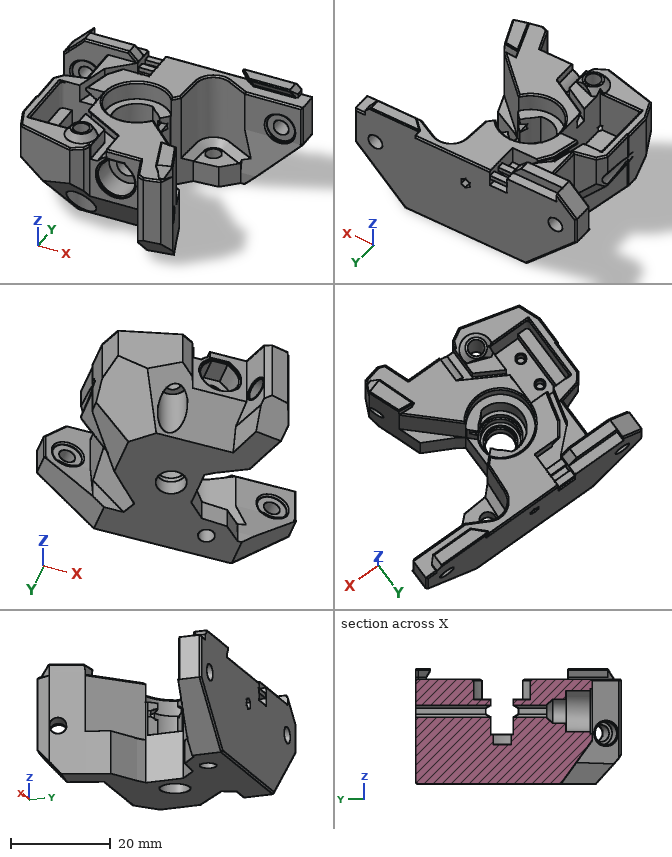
import cadquery as cq
import math

BIG = 200.0
EDGE = 0.35

body_top = 21.1
overall_height = 23.2
raised = overall_height - body_top

flange_width = 53.59
flange_mid_x = 4.13
flange_back = 17.38
flange_thickness = 4.93
flange_front = flange_back - flange_thickness
flange_left = flange_mid_x - flange_width / 2
flange_right = flange_mid_x + flange_width / 2
flange_corner_z = 12.15
flange_slope_low_z = 2.6
flange_foot_y = 10.85
ear_bevel = 4.75
ear_end_x = -7.9
key_depth = 3.0
ear_pocket_depth = 2.2

screw_z = 14.64
screw_spread = 21.77
screw_hole_d = 3.4
flange_bore_d = 6.25
flange_bore_depth = 0.5

body_left = -19.2
side_step_x = -19.0
body_front = -18.15
body_right = 5.63
web_x = -12.87
arm_front = flange_back - 41.37
ledge_z = 9.0
shelf_z = 4.85
recess_taper_z = 6.2

well_r = 7.0
well_floor = 17.0

recess_x, recess_y = 11.5, 11.5
recess_r = 3.9
recess_taper = 53.0
recess_wall_angle = math.radians(62.0)

slot_left, slot_right = -5.9, -1.8
slot_front = 9.2
slot_floor = 17.2
rib_top = 19.8
rib_size = 1.5
rib_height = 1.0
pocket_floor = 11.0
pocket_step = 14.5

boss_x, boss_y = -5.0, -15.2
boss_base_r = 3.4
boss_top_r = 2.2
boss_height = 1.5


def prism(points, z_low, z_high):
    """Vertical prism over a closed XY outline."""
    return cq.Workplane("XY").workplane(offset=z_low).polyline(points).close().extrude(z_high - z_low)


def block(x0, x1, y0, y1, z0, z1):
    """Axis-aligned block between two corners."""
    return cq.Workplane("XY").box(x1 - x0, y1 - y0, z1 - z0, centered=False).translate((x0, y0, z0))


def bore_z(x, y, diameter, z_low, z_high):
    """Vertical cylinder."""
    base = cq.Workplane("XY").workplane(offset=z_low)
    return base.center(x, y).circle(diameter / 2).extrude(z_high - z_low)


def bore_y(x, z, diameter, y_low, y_high):
    """Cylinder along Y."""
    plane = cq.Plane((x, y_low, z), (1, 0, 0), (0, 1, 0))
    return cq.Workplane(plane).circle(diameter / 2).extrude(y_high - y_low)


def cone(origin, direction, start_r, end_r, length):
    """Truncated cone growing from origin along direction."""
    solid = cq.Solid.makeCone(start_r, end_r, length, cq.Vector(*origin), cq.Vector(*direction))
    return cq.Workplane(obj=solid)


def ruled_loft(low_points, high_points, z_low, z_high):
    """Straight-sided solid between two outlines at different heights."""
    return (
        cq.Workplane("XY").workplane(offset=z_low).polyline(low_points).close()
        .workplane(offset=z_high - z_low).polyline(high_points).close().loft(ruled=True)
    )


def half_space(p, q, r, outside):
    """Everything on the side of plane p-q-r where the point outside lies."""
    corner = cq.Vector(*p)
    along = cq.Vector(*q) - corner
    normal = along.cross(cq.Vector(*r) - corner)
    if normal.dot(cq.Vector(*outside) - corner) < 0:
        normal = -normal
    plane = cq.Plane(corner, along, normal)
    return cq.Workplane(plane).rect(BIG, BIG).extrude(BIG)


def make_flange():
    """Rear plate with a raised ear on the left and a thickened foot."""
    foot_run = flange_corner_z
    ear_slope_z = overall_height - ear_bevel
    outline = [
        (flange_left, flange_corner_z),
        (flange_left, ear_slope_z),
        (flange_left + ear_bevel, overall_height),
        (ear_end_x, overall_height),
        (ear_end_x + raised, body_top),
        (flange_right, body_top),
        (flange_right, flange_corner_z),
        (flange_right - foot_run, 0),
        (flange_left + foot_run, 0),
    ]
    back = cq.Workplane("XZ", origin=(0, flange_back, 0))
    plate = back.polyline(outline).close().extrude(flange_thickness).faces("<Y or >Y").edges().chamfer(EDGE)
    profile = [
        (flange_back - EDGE, 0),
        (flange_foot_y, 0),
        (flange_foot_y, flange_slope_low_z),
        (flange_front, flange_corner_z),
        (flange_back - EDGE, flange_corner_z),
    ]
    foot = cq.Workplane("YZ", origin=(-BIG / 2, 0, 0)).polyline(profile).close().extrude(BIG)
    return plate.union(foot.intersect(back.polyline(outline).close().extrude(2 * flange_thickness)))


def recess_outline(z):
    """Outline of the open recess, round about its screw and straight to the flange."""
    wall_x, wall_y = math.cos(recess_wall_angle), math.sin(recess_wall_angle)
    mid_angle = (math.pi + recess_wall_angle) / 2
    reach = 20.0
    outer_x, outer_y = 30.0, -8.0
    return (
        cq.Workplane("XY").workplane(offset=z)
        .moveTo(7.2, 5.6)
        .lineTo(recess_x - recess_r, recess_y)
        .threePointArc(
            (recess_x + recess_r * math.cos(mid_angle), recess_y + recess_r * math.sin(mid_angle)),
            (recess_x + recess_r * wall_x, recess_y + recess_r * wall_y),
        )
        .lineTo(recess_x + recess_r * wall_x + reach * wall_y, recess_y + recess_r * wall_y - reach * wall_x)
        .lineTo(outer_x, outer_y).lineTo(7.0, outer_y).close()
    )


def make_recess():
    """Open recess around the rear vertical screw; its wall tapers in near the floor."""
    wall = recess_outline(recess_taper_z).extrude(body_top - recess_taper_z)
    lower = recess_outline(recess_taper_z).extrude(shelf_z - recess_taper_z, taper=recess_taper)
    rim = recess_outline(body_top - EDGE).extrude(EDGE, taper=-45)
    return wall.union(lower).union(rim).intersect(block(0, BIG, 3.9, BIG, 0, BIG))


def make_body():
    """Main block with the arm, before the underside is cut away."""
    left = [
        (web_x, flange_back - 1), (web_x, 3.5), (-17.5, 2.45), (side_step_x, 0.55), (side_step_x, -6.75),
        (body_left, -6.75), (body_left, -13.0), (-17.43, -17.6), (-4.85, -20.9), (-2.3, -19.5),
        (-1.7, body_front),
    ]
    arm = [
        (9.7, body_front), (11.6, -23.4), (13.1, arm_front), (16.7, -23.2), (17.93, -20.25), (15.4, -13.4),
    ]
    right = [
        (body_right, -4.1), (body_right, 3.9), (9.07, 7.3), (14.55, 7.7), (17.9, flange_foot_y),
        (17.9, flange_back - 1),
    ]
    body = prism(left + arm + right, 0, body_top).faces(">Z").edges().chamfer(EDGE)
    body = body.cut(bore_z(0, 0, 2 * well_r, well_floor, BIG))
    body = body.cut(cone((0, 0, body_top), (0, 0, -1), well_r + EDGE, well_r, EDGE))
    ledge = [(body_right, -4.1), (7.4, -5.3), (13.7, -8.6), (15.4, -13.4)]
    return body.union(prism(ledge, 0, ledge_z))


def underside_cuts():
    """Sloping faces of the underside, as solids to remove."""
    below_front = (0, -60, -60)
    below_left = (-60, 0, -60)
    front_top_z = 8.8
    front_corner = (-17.43, -17.6, 13.4)
    shared_high = (-11.7, -19.1, 10.1)
    shared_low = (-7.6, -12.3, 0.7)
    front = half_space((0, body_front, front_top_z), (1, body_front, front_top_z), shared_low, below_front)
    beside_arm = half_space((9.7, body_front, 0), (11.6, -23.4, 0), (9.7, body_front, 1), (0, -25, 0))
    under_arm = half_space((8.68, -15.1, 4.1), (10.6, -20.6, 4.1), (9.3, -13.0, 0.5), (0, -25, 0))
    front = front.intersect(beside_arm.union(under_arm))
    front_left = half_space(front_corner, shared_high, shared_low, below_front)
    foot_x = -11.8
    corner_z = foot_x - body_left
    left = half_space(
        (body_left, 0, corner_z), (body_left, 1, corner_z),
        (foot_x, 0, 0), below_left)
    left = left.intersect(block(-BIG, 0, -BIG, flange_foot_y, -BIG, BIG))
    behind = half_space(
        (flange_left, 0, flange_corner_z), (flange_left, 1, flange_corner_z),
        (flange_left + flange_corner_z, 0, 0), below_left)
    behind = behind.intersect(block(-BIG, 0, flange_foot_y, BIG, -BIG, BIG))
    arm = half_space((13.1, arm_front, 6.0), (16.3, -18.1, 0), (11.2, -18.85, 0), below_front)
    return [front, front_left, left, behind, arm]


def side_undercut():
    """Hollow under the rear left, in front of the flange."""
    block_top = (-18.9, 0.85, 13.0)
    block_low = (-9.7, 3.0, 3.7)
    wall = half_space((-18.9, -6.4, 13.4), (body_left, -6.8, 7.26), (-12.1, 0.6, 0.3), (-60, 40, 0))
    under_block = half_space(block_top, (-18.9, -6.4, 13.4), block_low, (-30, 0, -60))
    under_corner = half_space(block_top, (-17.5, 2.3, 13.8), block_low, (-30, 10, -60))
    under_web = half_space((web_x, 11.4, 6.75), (web_x, 3.8, 10.4), (-9.0, 4.7, 5.8), (-30, 10, -60))
    beside_web = block(-BIG, web_x, -BIG, BIG, -BIG, BIG)
    ceiling = under_block.union(under_corner).intersect(under_web.union(beside_web))
    reach = block(-BIG, 0, -BIG, flange_foot_y, -1, BIG)
    return wall.intersect(ceiling).intersect(reach)


def key_recess():
    """Pocket in the left ear that takes a mating key, and the stepped cable slot beside it."""
    ear_pocket_left = flange_left + ear_bevel
    ear_pocket_front = flange_back - ear_pocket_depth
    ear_pocket = block(ear_pocket_left, slot_left, ear_pocket_front, flange_back, body_top, overall_height)
    slot = block(slot_left, slot_right, slot_front, flange_back, slot_floor, overall_height)
    for rib_front in (12.87, 15.8):
        rib_back = rib_front + rib_size
        slot = slot.cut(block(slot_left, slot_right, rib_front, rib_back, rib_top - rib_height, rib_top))
    return ear_pocket.union(slot)


def cable_channel():
    """Channel from the slot to the switch pocket."""
    left_side = [(slot_right, flange_front), (slot_left, flange_front), (-11.0, 7.7), (-13.0, 0.0)]
    right_side = [(-11.6, 0.0), (-10.0, 6.4), (-8.0, slot_front), (slot_right, slot_front)]
    flared_side = [(-11.2, 0.0), (-9.6, 6.3), (-7.6, slot_front), (slot_right, slot_front)]
    deep_side = [(-9.4, 0.0), (-8.0, 5.8), (-6.2, slot_front), (slot_right, slot_front)]
    outline = left_side + right_side
    overhang_z = 18.8
    cover_z = overhang_z + 1.6
    channel = prism(outline, slot_floor, overall_height)
    rim = ruled_loft(outline, left_side + flared_side, body_top - EDGE, body_top)
    undercut = prism(left_side + deep_side, slot_floor, overhang_z)
    overhang = ruled_loft(left_side + deep_side, outline, overhang_z, cover_z)
    cut = channel.union(rim).union(undercut).union(overhang)
    return cut.cut(block(slot_left, slot_right, flange_front, BIG, 0, BIG))


def switch_pocket():
    """Rectangular pocket with a step and two pin holes."""
    x0, x1 = -17.1, -7.4
    y0, y1 = -14.15, 0.2
    step_x = -14.6
    corner_r = 0.8
    pin_x, pin_d, pin_depth, pin_edge = -12.6, 1.8, 3.0, 0.25
    deep = block(step_x, x1, y0, y1, pocket_floor, BIG)
    shallow = block(x0, step_x, y0, y1, pocket_step, BIG).edges("|Z and <X").fillet(corner_r)
    pocket = deep.union(shallow)
    mouth = [(x0, y1), (x1, y1), (x1, y0), (x0, y0)]
    flared_mouth = [(x0 - EDGE, y1), (x1, y1), (x1, y0 - EDGE), (x0 - EDGE, y0 - EDGE)]
    pocket = pocket.union(ruled_loft(mouth, flared_mouth, body_top - EDGE, body_top))
    for pin_y in (-3.84, -10.4):
        pocket = pocket.union(bore_z(pin_x, pin_y, pin_d, pocket_floor - pin_depth, pocket_floor))
        pocket = pocket.union(
            cone((pin_x, pin_y, pocket_floor), (0, 0, -1), pin_d / 2 + pin_edge, pin_d / 2, pin_edge))
    return pocket


def front_notch():
    """Trench from the switch pocket round to the front face, with an overhanging rear wall."""
    floor_z = 17.9
    overhang_low, overhang_high = 19.5, 20.9
    pocket_side, front_end = -7.4, 2.0
    bend_x = -1.5
    bore_wall_r = 5.2
    bore_wall_end = -12.7
    top_edge = [(pocket_side, -7.0), (front_end, -12.4)]
    deep_edge = [(pocket_side, -5.7), (front_end, -11.0)]
    near_edge = [(front_end, -12.6), (pocket_side, -7.2)]
    trench = prism(
        top_edge + [(front_end, body_front), (bend_x, body_front), (bend_x, -11.7), (pocket_side, -8.3)],
        floor_z, body_top)
    trench = trench.cut(bore_y(flange_mid_x, screw_z, 2 * bore_wall_r, body_front - 1, bore_wall_end))
    undercut = prism(deep_edge + near_edge, floor_z, overhang_low)
    overhang = ruled_loft(deep_edge + near_edge, top_edge + near_edge, overhang_low, overhang_high)
    return trench.union(undercut).union(overhang)


def main_bore():
    """Stepped vertical bore; its middle pocket narrows at 45 degrees, then flares out to the right."""
    hole = bore_z(0, 0, 6.25, 0, BIG)
    for diameter, floor_z in ((7.0, 3.5), (8.2, 5.0), (9.0, 8.0)):
        hole = hole.union(bore_z(0, 0, diameter, floor_z, BIG))
    pocket_r, pocket_z = 5.3, 10.0
    point_x = 6.2
    shoulder_x = point_x - pocket_r
    wedge = prism([
        (-pocket_r, -pocket_r), (shoulder_x, -pocket_r), (point_x, 0),
        (shoulder_x, pocket_r), (-pocket_r, pocket_r),
    ], pocket_z, BIG)
    throat_x, throat_y = 3.9, 2.0
    mouth_x = body_right + 1
    mouth_y = throat_y + mouth_x - throat_x
    flare = prism([
        (0, -throat_y), (throat_x, -throat_y), (mouth_x, -mouth_y), (mouth_x, mouth_y), (throat_x, throat_y),
        (0, throat_y),
    ], pocket_z, well_floor)
    return hole.union(bore_z(0, 0, 2 * pocket_r, pocket_z, BIG).intersect(wedge)).union(flare)


def flat_topped_bore(r, depth):
    """Bore along Y from the front face: a circle whose upper side is squared to an octagon."""
    front = cq.Plane((flange_mid_x, body_front, screw_z), (1, 0, 0), (0, -1, 0))
    half_flat = r * math.tan(math.pi / 8)
    side = r * math.sqrt(0.5)
    roof = cq.Workplane(front).polyline([(-side, side), (-half_flat, r), (half_flat, r), (side, side)])
    return cq.Workplane(front).circle(r).extrude(-depth).union(roof.close().extrude(-depth))


def tension_bore():
    """Horizontal front bore: flat-topped counterbore, shank, cone and a small hexagon right through."""
    mouth_depth, depth, shank_end = 0.4, 5.3, body_front + 8.0
    shank_d, hexagon_d = 4.7, 2.4
    cut = flat_topped_bore(9.0 / 2, mouth_depth).union(flat_topped_bore(8.2 / 2, depth))
    cut = cut.union(bore_y(flange_mid_x, screw_z, shank_d, body_front, shank_end))
    cut = cut.union(cone((flange_mid_x, shank_end, screw_z), (0, 1, 0), shank_d / 2, hexagon_d / 2, 1.2))
    start = cq.Plane((flange_mid_x, body_front, screw_z), (0, 0, 1), (0, 1, 0))
    return cut.union(cq.Workplane(start).polygon(6, hexagon_d).extrude(BIG))


def flange_screws():
    """Two horizontal screw holes with shallow chamfered counterbores."""
    cut = None
    for side in (-1, 1):
        x = flange_mid_x + side * screw_spread
        hole = bore_y(x, screw_z, screw_hole_d, 0, BIG)
        hole = hole.union(bore_y(x, screw_z, flange_bore_d, 0, flange_front + flange_bore_depth))
        bore_r = flange_bore_d / 2
        hole = hole.union(cone((x, flange_front, screw_z), (0, 1, 0), bore_r + EDGE, bore_r, EDGE))
        hole = hole.intersect(block(-BIG, BIG, flange_foot_y, BIG, 0, BIG))
        cut = hole if cut is None else cut.union(hole)
    return cut


def vertical_screws():
    """Rear screw hole, and the boss hole with its wide bore from below."""
    boss_bore_d, boss_bore_top = 6.0, 12.0
    rear = bore_z(recess_x, recess_y, screw_hole_d, 0, shelf_z)
    boss = bore_z(boss_x, boss_y, screw_hole_d, 0, BIG)
    return rear.union(boss).union(bore_z(boss_x, boss_y, boss_bore_d, 0, boss_bore_top))


def arm_hole():
    """Stepped hole square to the arm's left side, starting clear of it."""
    clear, length = 1.5, 14.0
    wide_d, wide_depth, edge = 4.7, 3.0, 0.25
    direction = cq.Vector(0.943, 0.334, 0)
    entry = cq.Vector(10.72, -20.9, 10.2)
    plane = cq.Plane(entry - direction * clear, (0, 0, 1), direction)
    through = cq.Workplane(plane).circle(screw_hole_d / 2).extrude(length)
    wide = cq.Workplane(plane).circle(wide_d / 2).extrude(clear + wide_depth)
    mouth = cone(entry.toTuple(), direction.toTuple(), wide_d / 2 + edge, wide_d / 2, edge)
    return through.union(wide).union(mouth)


def side_groove():
    """Shallow groove grazing the left side, fading out towards the front."""
    radius = 2.0
    groove_z = 14.84
    start = cq.Vector(-20.2, 2.6, groove_z)
    end = cq.Vector(body_left - radius, -9.2, groove_z)
    along = end - start
    return cq.Workplane(cq.Plane(start, (0, 0, 1), along)).circle(radius).extrude(along.Length)


def boss_cone():
    """Conical boss around the front-left vertical hole, cut flat at the rear."""
    boss = cone((boss_x, boss_y, body_top), (0, 0, 1), boss_base_r, boss_top_r, boss_height)
    behind = half_space((-6.8, -12.1, 0), (-1.7, -14.0, 0), (-6.8, -12.1, 1), (0, 0, 0))
    return boss.cut(behind)


def dovetail_key(top_outline, foot_outline):
    """Raised key: a wider top on a narrower foot."""
    foot_z = body_top + EDGE
    lip_z = overall_height - EDGE
    top_edge = 0.25
    foot = prism(foot_outline, body_top - EDGE, foot_z)
    flare = ruled_loft(foot_outline, top_outline, foot_z, lip_z)
    top = prism(top_outline, lip_z, overall_height).faces(">Z").edges().chamfer(top_edge)
    return foot.union(flare).union(top)


def flange_key():
    """Key on the right end of the flange, with its right end bevelled."""
    x0, x1 = 15.4, 28.4
    y0 = flange_back - key_depth
    lip = 0.8
    corner = 2.5
    bevel_run = 1.3
    trim_run = 1.2
    left_y = y0 + corner
    bevel_z = overall_height - bevel_run
    top = [(x0, flange_back), (x0, left_y), (x0 + corner, y0), (x1, y0), (x1, flange_back)]
    foot = [(x0 + lip, flange_back), (x0 + lip, left_y), (x0 + corner + lip, y0 + lip),
            (x1, y0 + lip), (x1, flange_back)]
    bevel = half_space((x1, 0, bevel_z), (x1, 1, bevel_z), (x1 - bevel_run, 0, overall_height), (BIG, 0, BIG))
    trim = half_space((x1, y0 + trim_run, 0), (x1, y0 + trim_run, 1), (x1 - trim_run, y0, 0), (BIG, 0, 0))
    return dovetail_key(top, foot).cut(bevel).cut(trim)


def arm_key():
    """Key along the arm, flush with its right side and sloping at both ends."""
    lip = 0.5
    near, far = (14.6, -21.2), (11.85, -13.2)
    tip = (15.9, -22.5)
    side_front, side_tip = (17.93, -20.25), (16.9, -22.2)
    top = [far, (15.4, -13.6), side_front, side_tip, tip, near]
    foot = [(far[0] + lip, far[1]), (15.4, -13.4), side_front, side_tip, tip, (near[0] + lip, near[1])]
    slope = half_space(
        (*side_front, overall_height), (*near, overall_height), (*tip, body_top), (17, -30, 30))
    return dovetail_key(top, foot).cut(slope)


part = make_body()
for underside in underside_cuts():
    part = part.cut(underside)
part = part.cut(side_undercut()).union(make_flange()).cut(make_recess())
part = part.union(boss_cone())
part = part.union(flange_key()).union(arm_key())
for feature in (
    key_recess, cable_channel, switch_pocket, front_notch, main_bore, tension_bore,
    flange_screws, vertical_screws, arm_hole, side_groove,
):
    part = part.cut(feature())

result = part